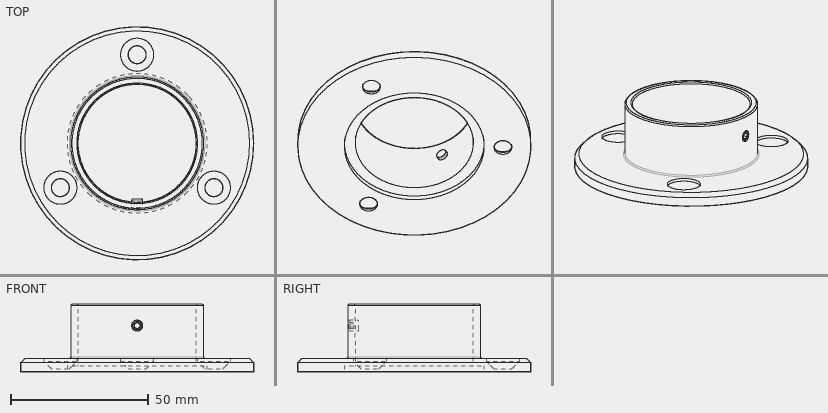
import cadquery as cq
import math

flange_diameter = 85.0
flange_thickness = 4.85
flange_chamfer = 1.5
overall_height = 24.7
collar_diameter = 48.45
bore_diameter = 43.0
base_recess_diameter = 51.0
base_recess_depth = 2.0
rim_chamfer = 0.5
root_fillet = 0.5

hole_count = 3
hole_circle_radius = 32.3
hole_diameter = 6.5
sink_diameter = 12.1
sink_lip_depth = 1.0

screw_height = 16.8
screw_diameter = 4.0
screw_length = 3.7
screw_chamfer = 0.5
screw_tip_inset = 0.13
screw_recess = 0.25
socket_width = 1.95
socket_depth = 2.0

collar_radius = collar_diameter / 2
first_hole_angle = 90.0
screw_outer_y = screw_recess - collar_radius


def make_flange_body():
    """Round base plate with a bored collar rising from its centre and a shallow recess underneath."""
    plate = (
        cq.Workplane("XY")
        .circle(flange_diameter / 2)
        .extrude(flange_thickness)
        .faces(">Z")
        .edges()
        .chamfer(flange_chamfer)
    )
    collar = cq.Workplane("XY").circle(collar_radius).extrude(overall_height)
    root_edge = cq.selectors.RadiusNthSelector(0)
    body = plate.union(collar)
    plate_top = cq.selectors.NearestToPointSelector((0, hole_circle_radius, flange_thickness))
    body = body.faces(plate_top).edges(root_edge).fillet(root_fillet)
    bore = cq.Workplane("XY").circle(bore_diameter / 2).extrude(overall_height)
    base_recess = cq.Workplane("XY").circle(base_recess_diameter / 2).extrude(base_recess_depth)
    return body.cut(bore).cut(base_recess).faces(">Z").edges().chamfer(rim_chamfer)


def make_countersunk_cutter(angle):
    """Through hole with a 90 degree countersink below a short straight lip."""
    hole_radius = hole_diameter / 2
    sink_radius = sink_diameter / 2
    lip_bottom = flange_thickness - sink_lip_depth
    cone_bottom = lip_bottom - (sink_radius - hole_radius)
    profile = [
        (0, 0),
        (hole_radius, 0),
        (hole_radius, cone_bottom),
        (sink_radius, lip_bottom),
        (sink_radius, flange_thickness),
        (0, flange_thickness),
    ]
    cutter = cq.Workplane("XZ").polyline(profile).close().revolve(360, (0, 0), (0, 1))
    x = hole_circle_radius * math.cos(math.radians(angle))
    y = hole_circle_radius * math.sin(math.radians(angle))
    return cutter.translate((x, y, 0))


def radial_plane(outer_y):
    """Plane facing +Y at the screw height; its local x axis points up."""
    return cq.Plane(origin=(0, outer_y, screw_height), xDir=(0, 0, 1), normal=(0, 1, 0))


def make_screw_hole():
    """Radial hole through the collar wall on the -Y side."""
    hole = cq.Workplane(radial_plane(-collar_radius))
    return hole.circle(screw_diameter / 2).extrude(collar_radius)


def make_set_screw():
    """Headless screw with bevelled ends and a hexagon socket in its outer end."""
    radius = screw_diameter / 2
    tip_y = screw_outer_y + screw_length
    profile = [
        (0, screw_outer_y),
        (radius - screw_chamfer, screw_outer_y),
        (radius, screw_outer_y + screw_chamfer),
        (radius, tip_y - screw_chamfer),
        (radius - screw_tip_inset, tip_y),
        (0, tip_y),
    ]
    screw = cq.Workplane("XY").polyline(profile).close().revolve(360, (0, 0), (0, 1))
    screw = screw.translate((0, 0, screw_height))
    socket_diameter = socket_width / math.cos(math.pi / 6)
    socket = cq.Workplane(radial_plane(screw_outer_y)).polygon(6, socket_diameter).extrude(socket_depth)
    return screw.cut(socket)


flange = make_flange_body()
for index in range(hole_count):
    flange = flange.cut(make_countersunk_cutter(first_hole_angle + index * 360 / hole_count))
flange = flange.cut(make_screw_hole())

set_screw = make_set_screw()

result = cq.Compound.makeCompound([flange.val(), set_screw.val()])